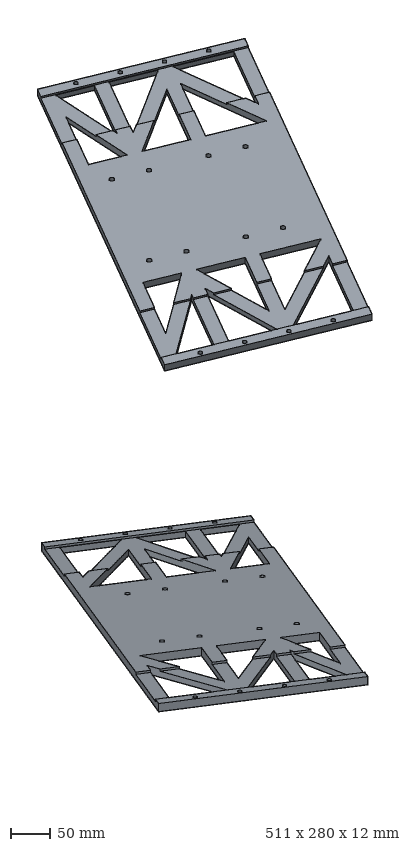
import cadquery as cq
import math

length = 511.0
width = 280.0
thickness = 12.0

rail_width = 14.0
raised_length = 311.5
recess_depth = 3.0

bar_width = 20.0
window_outer_x = length / 2 - 15.0
window_inner_x = 109.5
window_span = window_outer_x - window_inner_x
lower_bay_height = 52.0
middle_bay_height = 66.0
upper_bay_height = width - lower_bay_height - middle_bay_height - 4 * bar_width

rail_hole_diameter = 5.5
rail_hole_x = length / 2 - 5.5
rail_hole_pitch = 60.0
rail_hole_count = 4
first_rail_hole_y = 50.0 - width / 2
plate_hole_diameter = 6.5
plate_hole_x = 75.0
plate_hole_edge_distances = [40.0, 90.0, 170.0, 220.0]


def end_recess(side):
    """Shallow full-width step in the top; side is -1 or +1 along X."""
    inner_x = raised_length / 2
    outer_x = length / 2 - rail_width
    center_x = side * (inner_x + outer_x) / 2
    return cq.Workplane("XY").box(outer_x - inner_x, width, recess_depth).translate(
        (center_x, 0, thickness - recess_depth / 2)
    )


def bay_windows(side, bottom_y, height, brace_rises_inward):
    """Two triangular windows left on either side of a diagonal brace."""
    diagonal = math.hypot(window_span, height)
    angle = math.atan2(height, window_span) + math.asin(bar_width / diagonal)
    triangle_length = height / math.tan(angle)

    if brace_rises_inward:
        start_y = bottom_y
        end_y = bottom_y + height
    else:
        start_y = bottom_y + height
        end_y = bottom_y
    outer_x = side * window_outer_x
    inner_x = side * window_inner_x
    outer_tip_x = side * (window_outer_x - triangle_length)
    inner_tip_x = side * (window_inner_x + triangle_length)

    outer_triangle = [(outer_x, start_y), (outer_x, end_y), (outer_tip_x, end_y)]
    inner_triangle = [(inner_x, end_y), (inner_x, start_y), (inner_tip_x, start_y)]
    outer_window = cq.Workplane("XY").polyline(outer_triangle).close().extrude(thickness)
    inner_window = cq.Workplane("XY").polyline(inner_triangle).close().extrude(thickness)
    return outer_window.union(inner_window)


def through_holes(points, diameter):
    return cq.Workplane("XY").pushPoints(points).circle(diameter / 2).extrude(thickness)


result = cq.Workplane("XY").box(length, width, thickness, centered=(True, True, False))

bays = [(lower_bay_height, True), (middle_bay_height, False), (upper_bay_height, True)]
for side in (-1, 1):
    result = result.cut(end_recess(side))
    bay_bottom_y = bar_width - width / 2
    for bay_height, rises_inward in bays:
        result = result.cut(bay_windows(side, bay_bottom_y, bay_height, rises_inward))
        bay_bottom_y += bay_height + bar_width

rail_points = [
    (side * rail_hole_x, first_rail_hole_y + index * rail_hole_pitch)
    for side in (-1, 1)
    for index in range(rail_hole_count)
]
plate_points = [
    (side * plate_hole_x, distance - width / 2)
    for side in (-1, 1)
    for distance in plate_hole_edge_distances
]
result = result.cut(through_holes(rail_points, rail_hole_diameter))
result = result.cut(through_holes(plate_points, plate_hole_diameter))